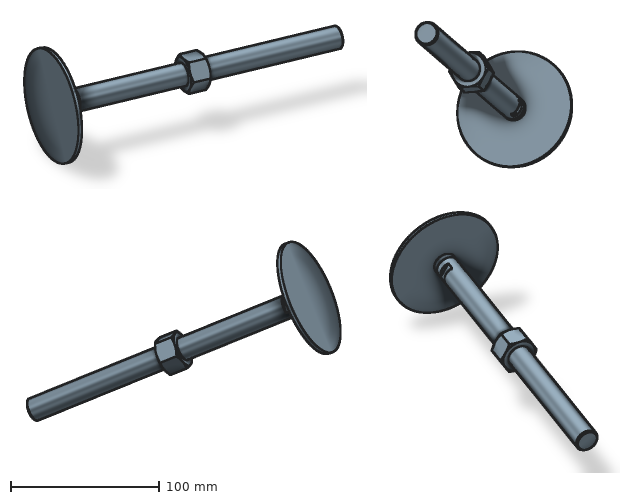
import cadquery as cq
import math

TOTAL_LENGTH = 218.0

PAD_DIAMETER = 80.0
PAD_THICKNESS = 2.8
CONE_BASE_RADIUS = 8.0
CONE_TOP_RADIUS = 5.0

SPINDLE_RADIUS = 8.0
SPINDLE_START = 6.0
SPINDLE_TIP_RADIUS = 6.0
SPINDLE_TIP_LENGTH = 0.9
SPINDLE_END_CHAMFER = 0.9

FLAT_START = 12.2
FLAT_WIDTH = 5.9
FLAT_OFFSET = 5.7
FLAT_ANGLE = 29.0

NUT_START = 100.0
NUT_THICKNESS = 14.8
NUT_ACROSS_FLATS = 24.0
NUT_FACE_RADIUS = NUT_ACROSS_FLATS / 2
NUT_CHAMFER_ANGLE = 30.0


def revolve_profile(points):
    """Revolve a closed (radius, Y) outline about the Y axis."""
    return cq.Workplane("XY").polyline(points).close().revolve(360, (0, 0, 0), (0, 1, 0))


def cross_plane(y):
    """Workplane across the axis at height y, with +Y as its normal."""
    return cq.Workplane(cq.Plane(origin=(0, y, 0), xDir=(1, 0, 0), normal=(0, 1, 0)))


def make_pad():
    """Round plate with a conical seat for the spindle."""
    pad_radius = PAD_DIAMETER / 2
    return revolve_profile([
        (0, 0),
        (pad_radius, 0),
        (pad_radius, PAD_THICKNESS),
        (CONE_BASE_RADIUS, PAD_THICKNESS),
        (CONE_TOP_RADIUS, SPINDLE_START),
        (0, SPINDLE_START),
    ])


def make_spindle():
    """Plain rod with tapered ends and two opposed wrench flats."""
    spindle = revolve_profile([
        (0, SPINDLE_START),
        (SPINDLE_TIP_RADIUS, SPINDLE_START),
        (SPINDLE_RADIUS, SPINDLE_START + SPINDLE_TIP_LENGTH),
        (SPINDLE_RADIUS, TOTAL_LENGTH - SPINDLE_END_CHAMFER),
        (SPINDLE_RADIUS - SPINDLE_END_CHAMFER, TOTAL_LENGTH),
        (0, TOTAL_LENGTH),
    ])
    cutter_width = 2 * SPINDLE_RADIUS
    for side in (-1, 1):
        cutter = (
            cq.Workplane("XY")
            .box(cutter_width, FLAT_WIDTH, cutter_width)
            .translate((side * (FLAT_OFFSET + cutter_width / 2), FLAT_START + FLAT_WIDTH / 2, 0))
            .rotate((0, 0, 0), (0, 1, 0), -FLAT_ANGLE)
        )
        spindle = spindle.cut(cutter)
    return spindle


def make_nut():
    """Hexagon nut with corners toward +X and -X, chamfered at both faces."""
    corner_radius = NUT_ACROSS_FLATS / math.sqrt(3)
    chamfer_depth = (corner_radius - NUT_FACE_RADIUS) * math.tan(math.radians(NUT_CHAMFER_ANGLE))
    nut_end = NUT_START + NUT_THICKNESS
    hexagon = cross_plane(NUT_START).polygon(6, 2 * corner_radius).extrude(NUT_THICKNESS)
    chamfer_envelope = revolve_profile([
        (0, NUT_START),
        (NUT_FACE_RADIUS, NUT_START),
        (corner_radius, NUT_START + chamfer_depth),
        (corner_radius, nut_end - chamfer_depth),
        (NUT_FACE_RADIUS, nut_end),
        (0, nut_end),
    ])
    bore = cross_plane(NUT_START).circle(SPINDLE_RADIUS).extrude(NUT_THICKNESS)
    return hexagon.intersect(chamfer_envelope).cut(bore)


pad = make_pad()
spindle = make_spindle()
nut = make_nut()

result = cq.Compound.makeCompound([pad.val(), spindle.val(), nut.val()])